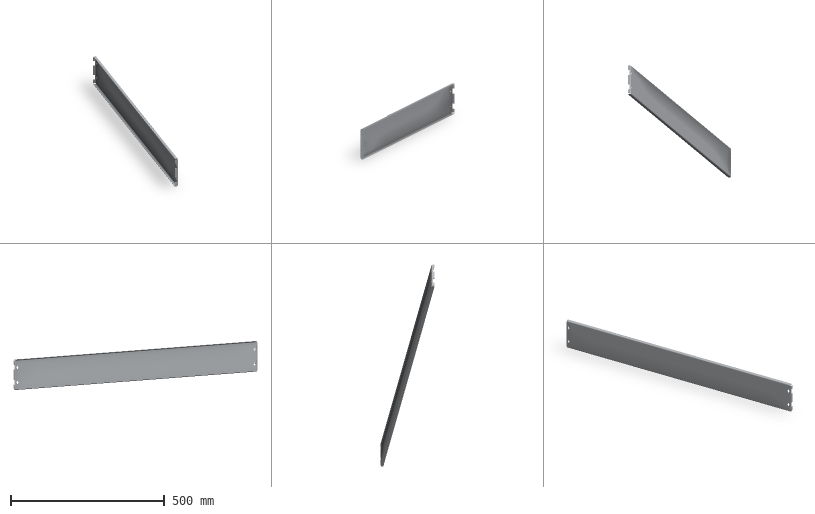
import cadquery as cq

length = 847.0
height = 100.0
depth = height / 10

thickness = 1.5
bend_radius = 3.05
inner_radius = bend_radius - thickness

corner_relief = 3.8
flange_end_gap = 2.0

mount_spacing = height / 2
gap_height = 17.0
gap_floor = 3.9
cross_inset = 10.0
cross_height = 12.0
cross_width = 8.0
cross_arm = 3.05

bend_start_y = depth / 2 - bend_radius
gap_floor_y = depth / 2 - gap_floor


def folded_channel(size_x, size_z, fold_axis):
    """U-channel: a floor on +Y with two rounded bends and flanges parallel to fold_axis."""
    inner_x = size_x if fold_axis == "X" else size_x - 2 * thickness
    inner_z = size_z if fold_axis == "Z" else size_z - 2 * thickness
    bend_edges = f"|{fold_axis} and >Y"
    outer = cq.Workplane("XY").box(size_x, depth, size_z).edges(bend_edges).fillet(bend_radius)
    inner = cq.Workplane("XY").box(inner_x, depth, inner_z).edges(bend_edges).fillet(inner_radius)
    return outer.cut(inner.translate((0, -thickness, 0)))


def cut_through(outline):
    """Tool running through the whole depth from an outline on the middle plane."""
    return outline.extrude(depth, both=True)


def at_mounts(inset):
    """Workplane at the four mounting places, a given inset from each end."""
    return cq.Workplane("XZ").rarray(length - 2 * inset, mount_spacing, 2, 2)


def long_flanges():
    """Top and bottom flanges, with their bends cut back at the corners."""
    channel = folded_channel(length - 2 * flange_end_gap, height, "X")
    floor_space = cq.Workplane("XY").box(length, depth, height - 2 * corner_relief)
    bend_ends = (
        cq.Workplane("XZ", origin=(0, bend_start_y, 0))
        .rarray(length, height, 2, 2)
        .rect(2 * corner_relief, 2 * corner_relief)
        .extrude(-bend_radius)
    )
    return channel.cut(floor_space).cut(bend_ends)


def floor_and_end_tabs():
    """Floor folded up at both ends, each end split into three tabs."""
    channel = folded_channel(length, height - 2 * corner_relief, "Z")
    gaps = (
        cq.Workplane("XZ", origin=(0, gap_floor_y, 0))
        .rarray(length, mount_spacing, 2, 2)
        .rect(2 * bend_radius, gap_height)
        .extrude(depth)
    )
    return channel.cut(gaps)


def mounting_crosses():
    """Cross-shaped cutouts through the floor."""
    upright = cut_through(at_mounts(cross_inset).slot2D(cross_height, cross_arm, 90))
    crossbar = cut_through(at_mounts(cross_inset).slot2D(cross_width, cross_arm))
    return upright.union(crossbar)


result = floor_and_end_tabs().union(long_flanges()).cut(mounting_crosses())